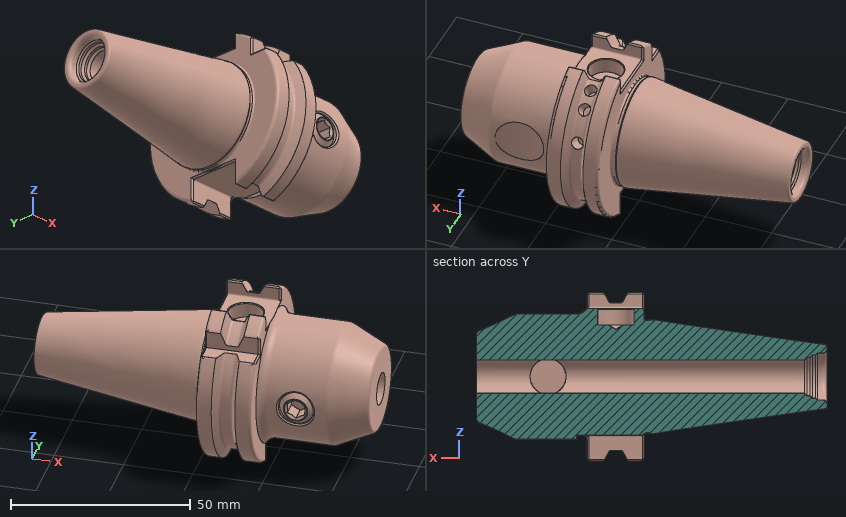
import cadquery as cq
import math


gauge_radius = 31.75 / 2
taper_slope = 7 / 48
taper_length = 47.8
taper_overrun = 0.5
taper_end_round = 0.7
land_end = 1.4
relief_start = 1.75
relief_radius = gauge_radius - 0.15
relief_fillet = 0.6

flange_front = 3.2
flange_rear = 19.1
flange_radius = 25.0
flange_round = 1.0
groove_center = 11.1
groove_floor_radius = 22.15
groove_mouth_width = 6.8
groove_flank_angle = 30.0
groove_corner_fillet = 0.7

body_radius = 17.5
neck_end = 22.0
neck_root_radius = 19.4
cone_start = 39.1
cone_start_blend = 1.5
nose_end = 50.0
nose_end_radius = 12.5
nose_round = 1.2

bore_radius = 4.6
mouth_round = 1.2
pilot_radius = 6.5
pilot_depth = 2.7
relief_bore_radius = 6.0
relief_bore_length = 0.9
thread_radius = 5.3
thread_length = 0.8

slot_half_width = 8.05
upper_slot_floor = 19.0
lower_slot_floor = 16.35
slot_floor_fillet = 0.5
notch_offset = 14.9
face_chamfer = 0.5
crown_chamfer = 0.42

clear_height = 30.0
edge_margin = 0.1

chip_radius = 5.0
chip_depth = 4.6
chip_chamfer = 0.25
drill_radius = 2.0
drill_point_angle = 118.0

balance_hole_radius = 1.75
balance_hole_depth = 5.0
balance_hole_angles = (20, 45, 60)

screw_x = 30.0
screw_radius = 5.0
screw_hole_chamfer = 0.5
screw_face = 17.4
screw_tip = bore_radius
screw_end_chamfer = 1.5
hex_flats = 5.0
hex_depth = 5.0
hex_lead_in_radius = 3.25
scoop_radius = 24.0
scoop_floor = 16.35


def taper_radius(x):
    return gauge_radius + taper_slope * x


def make_taper():
    profile = (
        cq.Workplane("XY")
        .moveTo(-taper_length, 0)
        .lineTo(-taper_length, taper_radius(-taper_length))
        .lineTo(taper_overrun, taper_radius(taper_overrun))
        .lineTo(land_end, taper_radius(taper_overrun))
        .lineTo(relief_start, relief_radius)
        .lineTo(flange_front - relief_fillet, relief_radius)
        .radiusArc((flange_front, relief_radius + relief_fillet), -relief_fillet)
        .lineTo(flange_front, 0)
        .close()
    )
    taper = profile.revolve(360, (0, 0, 0), (1, 0, 0))
    return taper.faces("<X").edges().fillet(taper_end_round)


def make_flange():
    width = flange_rear - flange_front
    flange = cq.Workplane("YZ", origin=(flange_front, 0, 0)).circle(flange_radius).extrude(width)
    flange = flange.edges().fillet(flange_round)
    flank_width = (flange_radius - groove_floor_radius) * math.tan(math.radians(groove_flank_angle))
    mouth_half = groove_mouth_width / 2
    floor_half = mouth_half - flank_width
    groove = (
        cq.Workplane("XY")
        .polyline([
            (groove_center - mouth_half, flange_radius),
            (groove_center - floor_half, groove_floor_radius),
            (groove_center + floor_half, groove_floor_radius),
            (groove_center + mouth_half, flange_radius),
        ])
        .close()
        .revolve(360, (0, 0, 0), (1, 0, 0))
    )
    floor_edges = cq.selectors.RadiusNthSelector(0)
    groove = groove.edges(floor_edges).fillet(groove_corner_fillet)
    return flange.cut(groove)


def make_nose():
    profile = (
        cq.Workplane("XY")
        .moveTo(flange_rear, 0)
        .lineTo(nose_end, 0)
        .lineTo(nose_end, nose_end_radius)
        .lineTo(cone_start, body_radius)
        .lineTo(neck_end, body_radius)
        .tangentArcPoint((flange_rear, neck_root_radius), relative=False)
        .close()
    )
    nose = profile.revolve(360, (0, 0, 0), (1, 0, 0))
    nose = nose.faces(">X").edges().fillet(nose_round)
    cone_edge = cq.selectors.BoxSelector(
        (cone_start - edge_margin, -clear_height, -clear_height),
        (cone_start + edge_margin, clear_height, clear_height),
        boundingbox=True,
    )
    return nose.edges(cone_edge).fillet(cone_start_blend)


def make_bore():
    """Through bore with a rounded mouth, stepping down by 45 degree cones to the narrow passage."""
    front = -taper_length
    pilot_end = front + pilot_depth
    relief_start_x = pilot_end + pilot_radius - relief_bore_radius
    relief_end_x = relief_start_x + relief_bore_length
    thread_start_x = relief_end_x + relief_bore_radius - thread_radius
    thread_end_x = thread_start_x + thread_length
    profile = (
        cq.Workplane("XY")
        .moveTo(front, 0)
        .lineTo(front, pilot_radius + mouth_round)
        .radiusArc((front + mouth_round, pilot_radius), -mouth_round)
        .lineTo(pilot_end, pilot_radius)
        .lineTo(relief_start_x, relief_bore_radius)
        .lineTo(relief_end_x, relief_bore_radius)
        .lineTo(thread_start_x, thread_radius)
        .lineTo(thread_end_x, thread_radius)
        .lineTo(thread_end_x + thread_radius - bore_radius, bore_radius)
        .lineTo(nose_end, bore_radius)
        .lineTo(nose_end, 0)
        .close()
    )
    return profile.revolve(360, (0, 0, 0), (1, 0, 0))


def face_chamfer_cutter(face_x, inward, y_range, z_range):
    """Tapered block that breaks the edges of a rectangular recess where it meets a flange face."""
    y_size = y_range[1] - y_range[0] + 2 * face_chamfer
    z_size = z_range[1] - z_range[0] + 2 * face_chamfer
    center = (face_x, sum(y_range) / 2, sum(z_range) / 2)
    return cq.Workplane("YZ", origin=center).rect(y_size, z_size).extrude(inward * face_chamfer, taper=45)


def recess_cutter(y_range, z_range, rear_z_range, end_x, floor_fillet=None):
    """Rectangular recess along X through the flange, with chamfered ends; its floor is at the lower Z."""
    recess = cq.Workplane("XY").box(
        end_x - flange_front, y_range[1] - y_range[0], z_range[1] - z_range[0], centered=False
    )
    recess = recess.translate((flange_front, y_range[0], z_range[0]))
    if floor_fillet:
        recess = recess.faces("<Z").edges("|X").fillet(floor_fillet)
    front_chamfer = face_chamfer_cutter(flange_front, 1, y_range, z_range)
    rear_chamfer = face_chamfer_cutter(flange_rear, -1, y_range, rear_z_range)
    return recess.union(front_chamfer).union(rear_chamfer)


def crown_chamfer_cutter(wall_y, toward_material):
    """45 degree wedge along the edge between a recess wall and the flange rim."""
    rim_y = wall_y + toward_material * crown_chamfer
    start_z = math.sqrt(flange_radius**2 - rim_y**2) - crown_chamfer
    reach = 2 * crown_chamfer
    return (
        cq.Workplane("YZ", origin=(flange_front, 0, 0))
        .polyline([
            (wall_y, start_z),
            (wall_y + toward_material * reach, start_z + reach),
            (wall_y, start_z + reach),
        ])
        .close()
        .extrude(flange_rear - flange_front)
    )


def make_slot(floor):
    """Drive slot that runs out through the neck, so its floor is chamfered at the front only."""
    y_range = (-slot_half_width, slot_half_width)
    z_range = (floor, clear_height)
    rear_z_range = (floor + face_chamfer, clear_height)
    slot = recess_cutter(y_range, z_range, rear_z_range, neck_end, slot_floor_fillet)
    for side in (-1, 1):
        slot = slot.union(crown_chamfer_cutter(side * slot_half_width, side))
    return slot


def make_notch():
    """Square notch, symmetric about the 45 degree line between -Y and +Z."""
    y_range = (-clear_height, -notch_offset)
    z_range = (notch_offset, clear_height)
    notch = recess_cutter(y_range, z_range, z_range, flange_rear)
    wall_chamfer = crown_chamfer_cutter(-notch_offset, 1)
    floor_chamfer = wall_chamfer.mirror("XZ").rotate((0, 0, 0), (1, 0, 0), 90)
    return notch.union(wall_chamfer).union(floor_chamfer)


def make_chip_pocket():
    floor = upper_slot_floor - chip_depth
    pocket = cq.Workplane("XY", origin=(groove_center, 0, floor)).circle(chip_radius).extrude(chip_depth)
    mouth = (
        cq.Workplane("XY", origin=(groove_center, 0, upper_slot_floor))
        .circle(chip_radius + chip_chamfer)
        .extrude(-chip_chamfer, taper=45)
    )
    point_depth = drill_radius / math.tan(math.radians(drill_point_angle / 2))
    point = cq.Solid.makeCone(
        drill_radius, 0, point_depth, cq.Vector(groove_center, 0, floor), cq.Vector(0, 0, -1)
    )
    return pocket.union(mouth).union(cq.Workplane(point))


def make_balance_hole(angle):
    """Radial hole at an angle from +Y towards +Z."""
    hole = (
        cq.Workplane("XZ", origin=(groove_center, groove_floor_radius - balance_hole_depth, 0))
        .circle(balance_hole_radius)
        .extrude(-clear_height)
    )
    return hole.rotate((0, 0, 0), (1, 0, 0), angle)


def make_scoop():
    """Shallow cylindrical scoop, axis along Z, in the +Y side of the nose."""
    center_y = scoop_floor + scoop_radius
    scoop = (
        cq.Workplane("XY", origin=(screw_x, center_y, -body_radius))
        .circle(scoop_radius)
        .extrude(2 * body_radius)
    )
    nose_side = cq.Workplane("XY").box(cone_start - neck_end, 2 * body_radius, 2 * body_radius)
    nose_side = nose_side.translate(((cone_start + neck_end) / 2, body_radius, 0))
    return scoop.intersect(nose_side)


def make_holder():
    holder = make_taper().union(make_flange()).union(make_nose())
    holder = holder.cut(make_bore())
    holder = holder.cut(make_slot(upper_slot_floor))
    holder = holder.cut(make_slot(lower_slot_floor).mirror("XY"))
    holder = holder.cut(make_notch())
    holder = holder.cut(make_chip_pocket())
    for angle in balance_hole_angles:
        holder = holder.cut(make_balance_hole(angle))
    holder = holder.cut(make_scoop())
    screw_hole = cq.Workplane("XZ", origin=(screw_x, 0, 0)).circle(screw_radius).extrude(clear_height)
    holder = holder.cut(screw_hole)
    rim_inner_y = math.sqrt(body_radius**2 - screw_radius**2) - edge_margin
    rim_reach = screw_radius + edge_margin
    rim = cq.selectors.BoxSelector(
        (screw_x - rim_reach, -body_radius - edge_margin, -rim_reach),
        (screw_x + rim_reach, -rim_inner_y, rim_reach),
        boundingbox=True,
    )
    return holder.edges(rim).chamfer(screw_hole_chamfer)


def make_screw():
    screw = (
        cq.Workplane("XZ", origin=(screw_x, -screw_tip, 0))
        .circle(screw_radius)
        .extrude(screw_face - screw_tip)
        .faces("<Y")
        .edges()
        .chamfer(screw_end_chamfer)
    )
    socket = (
        cq.Workplane("XZ", origin=(screw_x, -screw_face, 0))
        .polygon(6, hex_flats, circumscribed=True)
        .extrude(-hex_depth)
    )
    lead_in_depth = hex_lead_in_radius - hex_flats / 2
    lead_in = (
        cq.Workplane("XZ", origin=(screw_x, -screw_face, 0))
        .circle(hex_lead_in_radius)
        .extrude(-lead_in_depth, taper=45)
    )
    return screw.cut(socket).cut(lead_in)


holder = make_holder()
screw = make_screw()
result = cq.Compound.makeCompound([holder.solids().val(), screw.solids().val()])